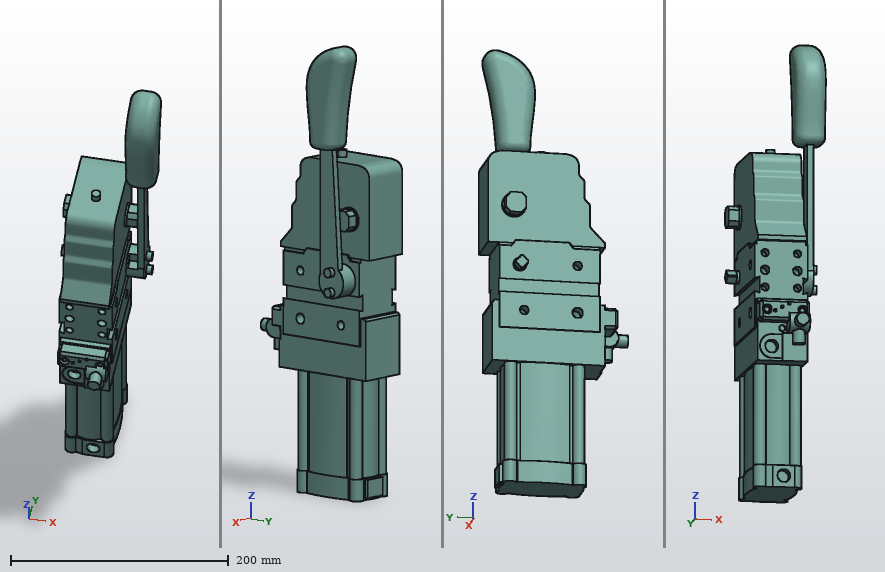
import cadquery as cq
import math


cylinder_top = 114.5
block_top = 172.0
cover_bottom = 227.0
cover_top = 314.7
cover_width = 45.5
block_width = 46.5
plate_width = 49.5
plate_front = -50.5
plate_back = 43.5

cover_back = 54.0
cover_front_faces = (-31.0, -36.5, -41.5)
step_tops = (295.0, 272.5, 246.0)
step_drop = 5.0
toe_front = -55.5
toe_height = 4.3
cover_corner_radius = 10.2
cover_flat_back = 40.5
cover_flat_front = -19.2
cover_slope_drop = 2.5
step_inner_radius = 5.0
step_outer_radius = 3.5
indicator_diameter = 8.0
indicator_height = 6.5

arm_axis_y = 30.0
arm_axis_z = 263.0
arm_collar_diameter = 22.0
arm_square = 19.0
arm_square_chamfer = 4.3
arm_half_length = 34.5

plate_bottom = 146.0
plate_shoulder = 224.0
plate_crown = 229.7
crown_back = 28.0
crown_front = -21.8
crown_slope = 4.3
groove_bottom = 179.8
groove_top = 192.0
groove_floor_width = 40.5
groove_undercut = 1.3

drill_depth = 13.0
drill_tip_angle = 118
front_hole_spacing = 30.5
front_hole_z = 200.0
front_hole_span = 32.0
front_small_diameter = 7.0
front_large_diameter = 8.0
side_hole_front_y = -29.5
side_hole_back_y = 20.5
side_hole_high_z = 208.0
side_hole_low_z = 163.0
side_small_diameter = 8.0
side_large_diameter = 10.0

block_back = 50.0
block_front = -55.5
block_chamfer = 2.0
pad_front = -57.0
pad_top = 140.5
port_diameter = 12.0
port_depth = 8.5
port_seat_diameter = 22.0
port_seat_depth = 1.0
block_port_x = -10.0
block_port_z = 128.0
vent_diameter = 5.5
vent_z = 145.0
vent_depth = 2.0

sensor_front = -68.0
sensor_bottom = 150.5
sensor_top = 170.0
sensor_chamfer = 2.5
screw_x = 16.5
screw_z = 160.0
screw_seat_diameter = 8.5
screw_head_diameter = 5.0
screw_seat_depth = 4.3
screw_head_height = 2.5
lamp_diameter = 2.5
lamp_depth = 1.3
lamp_places = ((-9.0, 159.3), (-2.5, 162.5), (4.05, 166.0))
elbow_diameter = 17.0
elbow_left = 4.0
elbow_right = 22.5
elbow_y = -65.0
elbow_z = 149.5
plug_x = 13.5
plug_diameter = 11.5
plug_front = -83.3
plug_bottom = 129.5
plug_down_y = -63.5

tube_half_x = 22.0
tube_half_y = 37.5
column_diameter = 11.5
panel_half_x = 11.0
panel_half_y = 23.0
panel_bulge = 2.5
valley_depth = 4.3
cap_height = 20.5
cap_half_x = 22.5
cap_half_y = 39.0
cap_column_diameter = 13.0
cap_panel_half_x = 13.5
cap_panel_half_y = 25.5
cap_port_x = 4.5
cap_port_z = 10.5
cap_pad_width = 20.5
cap_boss_height = 17.0
cap_boss_back = 41.0

lever_axis_y = 24.8
lever_axis_z = 206.3
lever_shaft_diameter = 12.0
lever_shaft_left = -36.5
key_square = 9.5
key_length = 9.0
hub_diameter = 30.0
hub_left = 26.0
hub_right = 42.5
hub_notch_left = 27.8
hub_notch_bottom = 211.0
hub_notch_depth = 10.2
stud_diameter = 8.5
stud_offset = 9.5
stud_end = 48.0
bar_thickness = 6.0
bar_front = 11.0
bar_back_low = 34.0
bar_back_high = 25.5
grip_left = 25.5
grip_width = 28.0
grip_side_radius = 10.2
grip_end_radius = 7.0
grip_top_radius = 10.5
grip_bottom = 330.0
grip_bottom_back = (33.5, grip_bottom)
grip_back_middle = (38.5, 379.5)
grip_top_corner = (50.5, 428.5)
grip_front_points = ((37.0, 427.5), (17.0, 420.5), (2.5, 405.5), (-1.3, 380.0), (2.0, grip_bottom))


def box(x_min, x_max, y_min, y_max, z_min, z_max):
    return cq.Workplane("XY").box(x_max - x_min, y_max - y_min, z_max - z_min, centered=False).translate(
        (x_min, y_min, z_min)
    )


def rod_x(diameter, x_start, x_end, y, z):
    start = cq.Vector(x_start, y, z)
    solid = cq.Solid.makeCylinder(diameter / 2, x_end - x_start, start, cq.Vector(1, 0, 0))
    return cq.Workplane(solid)


def rod_y(diameter, y_start, y_end, x, z):
    start = cq.Vector(x, y_start, z)
    solid = cq.Solid.makeCylinder(diameter / 2, y_end - y_start, start, cq.Vector(0, 1, 0))
    return cq.Workplane(solid)


def rod_z(diameter, z_start, z_end, x, y):
    solid = cq.Solid.makeCylinder(diameter / 2, z_end - z_start, cq.Vector(x, y, z_start))
    return cq.Workplane(solid)


def drill(diameter, mouth, direction):
    """Blind drilled hole with a conical tip, starting at mouth."""
    radius = diameter / 2
    tip_length = radius / math.tan(math.radians(drill_tip_angle / 2))
    start = cq.Vector(*mouth)
    axis = cq.Vector(*direction)
    bore = cq.Solid.makeCylinder(radius, drill_depth, start, axis)
    tip = cq.Solid.makeCone(radius, 0, tip_length, start + axis * drill_depth, axis)
    return cq.Workplane(bore).union(cq.Workplane(tip))


def side_profile(points, width):
    """Prism across the middle plane from an outline of (y, z) points."""
    return cq.Workplane("YZ").polyline(points).close().extrude(width).translate((-width / 2, 0, 0))


def fillet_at(body, y, z, radius):
    """Round the edge along X that passes through (y, z)."""
    reach = 0.5
    selector = cq.selectors.BoxSelector((-reach, y - reach, z - reach), (reach, y + reach, z + reach))
    return body.edges(selector).fillet(radius)


def make_cover():
    corner_z = cover_top - cover_slope_drop
    outline = [
        (cover_back, cover_bottom),
        (cover_back, corner_z),
        (cover_flat_back, cover_top),
        (cover_flat_front, cover_top),
        (cover_front_faces[0], corner_z),
    ]
    inner_corners = list(zip(cover_front_faces, step_tops))
    outer_corners = [(face, top - step_drop) for face, top in zip(cover_front_faces[1:], step_tops)]
    for inner, outer in zip(inner_corners, outer_corners):
        outline += [inner, outer]
    outline += [inner_corners[-1], (toe_front, cover_bottom + toe_height), (toe_front, cover_bottom)]
    cover = side_profile(outline, cover_width)
    for y in (cover_back, cover_front_faces[0]):
        cover = fillet_at(cover, y, corner_z, cover_corner_radius)
    for y, z in inner_corners:
        cover = fillet_at(cover, y, z, step_inner_radius)
    for y, z in outer_corners:
        cover = fillet_at(cover, y, z, step_outer_radius)
    cover = cover.union(rod_z(indicator_diameter, cover_top, cover_top + indicator_height, 0, 0))
    return cover.union(make_arm_shaft())


def make_arm_shaft():
    """Collared shaft with a chamfered square on both ends."""
    shaft = (
        cq.Workplane("YZ")
        .rect(arm_square, arm_square)
        .extrude(2 * arm_half_length)
        .edges("|X")
        .chamfer(arm_square_chamfer)
        .translate((-arm_half_length, arm_axis_y, arm_axis_z))
    )
    collar = rod_x(arm_collar_diameter, -plate_width / 2, plate_width / 2, arm_axis_y, arm_axis_z)
    return shaft.union(collar)


def make_side_plates():
    """Thin plates on both sides of the core, each with a raised crown that overlaps the cover."""
    outline = [
        (plate_front, plate_bottom),
        (plate_front, plate_shoulder),
        (crown_front - crown_slope, plate_shoulder),
        (crown_front, plate_crown),
        (crown_back, plate_crown),
        (crown_back + crown_slope, plate_shoulder),
        (plate_back, plate_shoulder),
        (plate_back, plate_bottom),
    ]
    plates = side_profile(outline, plate_width)
    half = cover_width / 2
    space = box(-half, half, toe_front, cover_back, cover_bottom, plate_crown)
    return plates.cut(space)


def make_groove(side):
    """Undercut groove along Y in the side face of the body."""
    floor_x = side * groove_floor_width / 2
    face_x = side * plate_width / 2
    outline = [
        (face_x, groove_bottom),
        (floor_x, groove_bottom - groove_undercut),
        (floor_x, groove_top + groove_undercut),
        (face_x, groove_top),
    ]
    groove = cq.Workplane("XZ").polyline(outline).close().extrude(plate_back - plate_front)
    return groove.translate((0, plate_back, 0))


def make_block():
    half = block_width / 2
    block = box(-half, half, block_front, block_back, cylinder_top, block_top)
    block = block.edges(">Y and >Z").chamfer(block_chamfer)
    block = block.union(box(0, half, pad_front, block_front, cylinder_top, pad_top))
    seat_radius = port_seat_diameter / 2
    seat_back = block_front + port_seat_depth
    seat = rod_y(port_seat_diameter, block_front, seat_back, block_port_x, block_port_z).union(
        box(block_port_x, 0, block_front, seat_back, block_port_z - seat_radius, block_port_z + seat_radius)
    )
    port = rod_y(port_diameter, block_front, block_front + port_depth, block_port_x, block_port_z)
    vent = rod_y(vent_diameter, block_front, block_front + vent_depth, 0, vent_z)
    return block.cut(seat).cut(port).cut(vent)


def make_sensor_box():
    half = block_width / 2
    sensor = box(-half, half, sensor_front, block_front, sensor_bottom, sensor_top)
    sensor = sensor.edges("<Y or |Y").chamfer(sensor_chamfer)
    seat_floor = sensor_front + screw_seat_depth
    for x in (-screw_x, screw_x):
        sensor = sensor.cut(rod_y(screw_seat_diameter, sensor_front, seat_floor, x, screw_z))
        head_top = seat_floor - screw_head_height
        sensor = sensor.union(rod_y(screw_head_diameter, head_top, seat_floor, x, screw_z))
    for x, z in lamp_places:
        sensor = sensor.cut(rod_y(lamp_diameter, sensor_front, sensor_front + lamp_depth, x, z))
    return sensor


def make_elbow_plug():
    radius = elbow_diameter / 2
    elbow = rod_x(elbow_diameter, elbow_left, elbow_right, elbow_y, elbow_z)
    stem = box(elbow_left, elbow_right, elbow_y, block_front, elbow_z - radius, elbow_z)
    forward_plug = rod_y(plug_diameter, plug_front, elbow_y, plug_x, elbow_z)
    down_plug = rod_z(plug_diameter, plug_bottom, elbow_z, plug_x, plug_down_y)
    return elbow.union(stem).union(forward_plug).union(down_plug)


def make_clamp_body():
    half = cover_width / 2
    body = box(-half, half, plate_front, plate_back, block_top, cover_bottom)
    body = body.union(make_side_plates()).union(make_block())
    for side in (-1, 1):
        body = body.cut(make_groove(side))
    body = body.union(make_sensor_box()).union(make_elbow_plug())
    front_rows = ((-1, front_small_diameter), (0, front_large_diameter), (1, front_small_diameter))
    for x in (-front_hole_spacing / 2, front_hole_spacing / 2):
        for row, diameter in front_rows:
            mouth = (x, plate_front, front_hole_z + row * front_hole_span / 2)
            body = body.cut(drill(diameter, mouth, (0, 1, 0)))
    side_holes = (
        (side_hole_front_y, side_hole_high_z, side_small_diameter),
        (side_hole_back_y, side_hole_low_z, side_small_diameter),
        (side_hole_front_y, side_hole_low_z, side_large_diameter),
    )
    for side in (-1, 1):
        for y, z, diameter in side_holes:
            body = body.cut(drill(diameter, (side * plate_width / 2, y, z), (-side, 0, 0)))
    bore = rod_x(lever_shaft_diameter, -plate_width / 2, plate_width / 2, lever_axis_y, lever_axis_z)
    return body.cut(bore)


def cylinder_section(half_x, half_y, radius, panel_x, panel_y, height):
    """Four round columns around a core whose four sides bulge between them."""
    core = box(
        valley_depth - half_x, half_x - valley_depth, valley_depth - half_y, half_y - valley_depth, 0, height
    )
    panels = (
        cq.Workplane("XY")
        .moveTo(half_x - panel_bulge, -panel_y)
        .threePointArc((half_x, 0), (half_x - panel_bulge, panel_y))
        .lineTo(panel_bulge - half_x, panel_y)
        .threePointArc((-half_x, 0), (panel_bulge - half_x, -panel_y))
        .close()
        .extrude(height)
    )
    ends = (
        cq.Workplane("XY")
        .moveTo(-panel_x, panel_bulge - half_y)
        .threePointArc((0, -half_y), (panel_x, panel_bulge - half_y))
        .lineTo(panel_x, half_y - panel_bulge)
        .threePointArc((0, half_y), (-panel_x, half_y - panel_bulge))
        .close()
        .extrude(height)
    )
    columns = (
        cq.Workplane("XY")
        .rect(2 * (half_x - radius), 2 * (half_y - radius), forConstruction=True)
        .vertices()
        .circle(radius)
        .extrude(height)
    )
    return core.union(panels).union(ends).union(columns)


def make_cylinder():
    tube = cylinder_section(
        tube_half_x, tube_half_y, column_diameter / 2, panel_half_x, panel_half_y, cylinder_top
    )
    cap = cylinder_section(
        cap_half_x, cap_half_y, cap_column_diameter / 2, cap_panel_half_x, cap_panel_half_y, cap_height
    )
    cylinder = tube.union(cap)
    pad_half = cap_pad_width / 2
    pad_back = valley_depth - cap_half_y
    cylinder = cylinder.union(
        box(cap_port_x - pad_half, cap_port_x + pad_half, -cap_half_y, pad_back, 0, cap_height)
    )
    boss_half = cap_boss_height / 2
    cylinder = cylinder.union(
        box(-pad_half, pad_half, 0, cap_boss_back, cap_port_z - boss_half, cap_port_z + boss_half)
    )
    port = rod_y(port_diameter, -cap_half_y, -cap_half_y + port_depth, cap_port_x, cap_port_z)
    return cylinder.cut(port)


def make_grip():
    """Hand grip: a side outline with an arched front, rounded along its sides and bottom."""
    grip = (
        cq.Workplane("YZ")
        .moveTo(*grip_bottom_back)
        .threePointArc(grip_back_middle, grip_top_corner)
        .spline(grip_front_points, includeCurrent=True)
        .close()
        .extrude(grip_width)
    )
    grip = grip.edges("|X").edges(">Z").fillet(grip_top_radius)
    grip = grip.faces("<X or >X").edges("not(<Z)").fillet(grip_side_radius)
    grip = grip.faces("<Z").edges().fillet(grip_end_radius)
    return grip.translate((grip_left, 0, 0))


def make_keyed_shaft():
    """Round shaft whose free end is a square standing on its corner, with round corners."""
    key_end = lever_shaft_left + key_length
    shaft = rod_x(lever_shaft_diameter, key_end, hub_left, lever_axis_y, lever_axis_z)
    square = (
        cq.Workplane("YZ")
        .rect(key_square, key_square)
        .extrude(key_length)
        .rotate((0, 0, 0), (1, 0, 0), 45)
        .translate((lever_shaft_left, lever_axis_y, lever_axis_z))
    )
    key = rod_x(lever_shaft_diameter, lever_shaft_left, key_end, lever_axis_y, lever_axis_z)
    return shaft.union(key.intersect(square))


def make_lever():
    lever = rod_x(hub_diameter, hub_left, hub_right, lever_axis_y, lever_axis_z)
    hub_front = lever_axis_y - hub_diameter / 2
    bar_left = hub_right - bar_thickness
    notch_back = hub_front + hub_notch_depth
    hub_top = lever_axis_z + hub_diameter / 2
    lever = lever.cut(box(hub_notch_left, bar_left, hub_front, notch_back, hub_notch_bottom, hub_top))
    lever = lever.union(make_keyed_shaft())
    for offset in (-stud_offset, stud_offset):
        lever = lever.union(rod_x(stud_diameter, hub_right, stud_end, lever_axis_y, lever_axis_z + offset))
    bar_outline = [
        (bar_front, lever_axis_z),
        (bar_front, grip_bottom + grip_end_radius),
        (bar_back_high, grip_bottom + grip_end_radius),
        (bar_back_low, lever_axis_z),
    ]
    bar = cq.Workplane("YZ").polyline(bar_outline).close().extrude(bar_thickness)
    return lever.union(bar.translate((bar_left, 0, 0))).union(make_grip())


cover = make_cover()
clamp_body = make_clamp_body()
cylinder = make_cylinder()
lever = make_lever()

bodies = (cover, clamp_body, cylinder, lever)
result = cq.Compound.makeCompound([body.solids().val() for body in bodies])